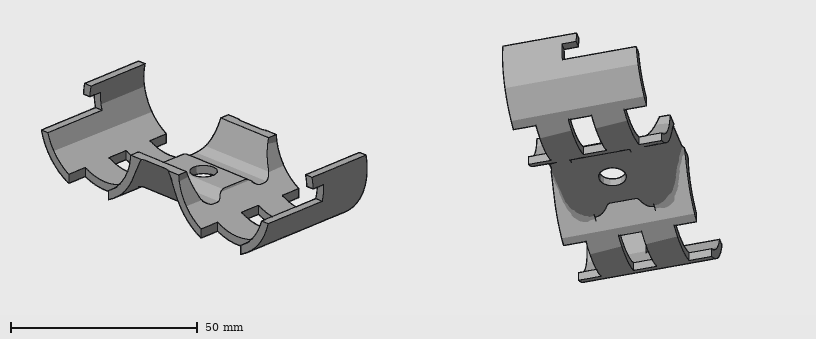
import cadquery as cq
import math

LENGTH = 86.8
WIDTH = 37.0
HEIGHT = 22.3

CRADLE_OFFSET = 25.0
THICKNESS = 2.4
OUTER_RADIUS = LENGTH / 2 - CRADLE_OFFSET
INNER_RADIUS = OUTER_RADIUS - THICKNESS
AXIS_Z = OUTER_RADIUS

WINDOW_LENGTH = 14.9
STRAP_INNER_Y = 3.2
STRAP_OUTER_Y = 12.2

NOTCH_BOTTOM_Z = 14.0
HOOK_BOTTOM_Z = 19.0
NOTCH_END_Y = 2.0
HOOK_END_Y = -2.0

SADDLE_TOP_Z = 17.45
SADDLE_TOP_Y = 15.5
TROUGH_OUTER_Y = 9.55
TROUGH_INNER_Y = 8.25
TROUGH_Z = 5.0 + THICKNESS
PLATEAU_Y = 3.6
WALL_TILT = math.radians(18)
WALL_BEND_RADIUS = 3.7
STEP_ANGLE = math.radians(51)
STEP_LOWER_RADIUS = 2.3
STEP_RISE = (TROUGH_INNER_Y - PLATEAU_Y) * math.tan(STEP_ANGLE / 2)
STEP_UPPER_RADIUS = (TROUGH_INNER_Y - PLATEAU_Y) / math.sin(STEP_ANGLE) - STEP_LOWER_RADIUS
PLATEAU_Z = TROUGH_Z + STEP_RISE
HOLE_DIAMETER = 7.4
BLEND_RADIUS = 3.0

TRIM_ALLOWANCE = 6.9
TOLERANCE = 0.01


def block(x_range, y_range, z_range):
    """Box spanning three (low, high) ranges."""
    lows, highs = zip(x_range, y_range, z_range)
    sizes = [high - low for low, high in zip(lows, highs)]
    return cq.Workplane("XY").box(*sizes, centered=False).translate(lows)


def cradle_cylinder(side, radius):
    """Full-width cylinder on the axis of one cradle."""
    plane = cq.Workplane("XZ", origin=(side * CRADLE_OFFSET, 0, AXIS_Z))
    return plane.circle(radius).extrude(WIDTH / 2 + TRIM_ALLOWANCE, both=True)


def on_arc(center, radius, angle):
    """Point on an arc, with the angle measured from +Y towards +Z."""
    return center[0] + radius * math.cos(angle), center[1] + radius * math.sin(angle)


def saddle_region(depth, top_z):
    """Space above the saddle surface lowered by depth, up to top_z."""
    wall_center = (TROUGH_OUTER_Y, TROUGH_Z + WALL_BEND_RADIUS)
    lower_center = (TROUGH_INNER_Y, TROUGH_Z + STEP_LOWER_RADIUS)
    upper_center = (PLATEAU_Y, PLATEAU_Z - STEP_UPPER_RADIUS)
    wall_radius = WALL_BEND_RADIUS + depth
    lower_radius = STEP_LOWER_RADIUS + depth
    upper_radius = STEP_UPPER_RADIUS - depth
    down = -math.pi / 2
    up = math.pi / 2

    step_top = on_arc(upper_center, upper_radius, up)
    step_upper_mid = on_arc(upper_center, upper_radius, up - STEP_ANGLE / 2)
    inflection = on_arc(upper_center, upper_radius, up - STEP_ANGLE)
    step_lower_mid = on_arc(lower_center, lower_radius, down - STEP_ANGLE / 2)
    step_bottom = on_arc(lower_center, lower_radius, down)
    trough_end = on_arc(wall_center, wall_radius, down)
    wall_mid = on_arc(wall_center, wall_radius, (down - WALL_TILT) / 2)
    wall_start = on_arc(wall_center, wall_radius, -WALL_TILT)
    top_y = SADDLE_TOP_Y + depth / math.cos(WALL_TILT) + (top_z - SADDLE_TOP_Z) * math.tan(WALL_TILT)

    half = (
        cq.Workplane("YZ")
        .moveTo(0, step_top[1])
        .lineTo(*step_top)
        .threePointArc(step_upper_mid, inflection)
        .threePointArc(step_lower_mid, step_bottom)
        .lineTo(*trough_end)
        .threePointArc(wall_mid, wall_start)
        .lineTo(top_y, top_z)
        .lineTo(0, top_z)
        .close()
        .extrude(CRADLE_OFFSET - WINDOW_LENGTH / 2, both=True)
    )
    return half.union(half.mirror("XZ"))


def both_cradles(radius):
    """The two cradle cylinders as one body."""
    return cradle_cylinder(-1, radius).union(cradle_cylinder(1, radius))


def is_saddle_corner(edge):
    """True for an edge where the saddle meets the outside of a cradle below the rim."""
    middle = edge.positionAt(0.5)
    axis_distance = math.hypot(abs(middle.x) - CRADLE_OFFSET, middle.z - AXIS_Z)
    on_cradle = abs(axis_distance - OUTER_RADIUS) < TOLERANCE
    below_rim = middle.z < SADDLE_TOP_Z - TOLERANCE
    inner_side = abs(middle.x) < CRADLE_OFFSET - TOLERANCE
    inside_stock = abs(middle.y) < WIDTH / 2
    return on_cradle and below_rim and inner_side and inside_stock


def make_body():
    """Cradle shells joined by the pressed saddle, with blended outside corners."""
    inner_half = (-CRADLE_OFFSET, CRADLE_OFFSET)
    full_width = (-WIDTH / 2, WIDTH / 2)
    full_length = (-LENGTH / 2, LENGTH / 2)
    stock_width = (-WIDTH / 2 - TRIM_ALLOWANCE, WIDTH / 2 + TRIM_ALLOWANCE)
    groove_width = (-TROUGH_INNER_Y, TROUGH_INNER_Y)
    above_rim = block(inner_half, stock_width, (SADDLE_TOP_Z, 2 * AXIS_Z))
    cradles = both_cradles(OUTER_RADIUS)
    saddle = saddle_region(THICKNESS, SADDLE_TOP_Z)

    core_x = CRADLE_OFFSET - WINDOW_LENGTH / 2
    core_z = (TROUGH_Z - THICKNESS, PLATEAU_Z)
    core = block((-core_x, core_x), groove_width, core_z)
    body = saddle.union(core).union(cradles).cut(above_rim).clean()
    corners = [edge for edge in body.edges().vals() if is_saddle_corner(edge)]
    body = body.newObject(corners).fillet(BLEND_RADIUS)

    groove = block(inner_half, groove_width, (0, PLATEAU_Z)).cut(saddle).cut(cradles)
    body = body.cut(groove).cut(both_cradles(INNER_RADIUS))
    body = body.intersect(block(full_length, full_width, (0, HEIGHT)))
    return body.cut(saddle_region(0, HEIGHT))


def cut_windows(body):
    """Open the cradle floors between and beside the straps."""
    gaps = (
        (-WIDTH / 2, -STRAP_OUTER_Y),
        (-STRAP_INNER_Y, STRAP_INNER_Y),
        (STRAP_OUTER_Y, WIDTH / 2),
    )
    for side in (-1, 1):
        center = side * CRADLE_OFFSET
        x_range = (center - WINDOW_LENGTH / 2, center + WINDOW_LENGTH / 2)
        for gap in gaps:
            body = body.cut(block(x_range, gap, (0, AXIS_Z)))
    return body


def cut_notches(body):
    """Cut away the front of both arms, leaving a hook at the top."""
    for x_range in ((-LENGTH / 2, -CRADLE_OFFSET), (CRADLE_OFFSET, LENGTH / 2)):
        body = body.cut(block(x_range, (-WIDTH / 2, NOTCH_END_Y), (NOTCH_BOTTOM_Z, HOOK_BOTTOM_Z)))
        body = body.cut(block(x_range, (-WIDTH / 2, HOOK_END_Y), (HOOK_BOTTOM_Z, HEIGHT)))
    return body


def cut_hole(body):
    """Screw hole through the saddle plateau."""
    return body.cut(cq.Workplane("XY").circle(HOLE_DIAMETER / 2).extrude(HEIGHT))


result = cut_hole(cut_notches(cut_windows(make_body())))